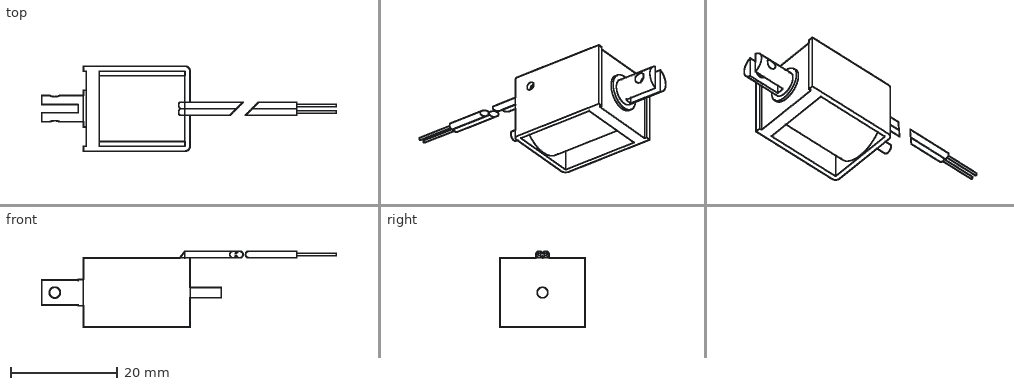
import cadquery as cq

frame_front = 7.85
frame_length = 20.05
wall = 1.0
lip_depth = 0.5
front_plate_thickness = 2.5
rod_end = 33.8
overall_length = 55.45

frame_back = frame_front + frame_length
plate_face = frame_front + lip_depth
cavity_front = plate_face + front_plate_thickness
cavity_back = frame_back - wall

frame_width = 16.0
frame_height = 13.0
back_corner_radius = wall
side_hole_diameter = 1.55
side_hole_x = 23.95
side_hole_z = 9.9
axis_z = frame_height / 2

coil_diameter = 12.4
nose_diameter = 7.0

plunger_diameter = 5.0
rod_diameter = 2.0
slot_width = 1.5
slot_depth = 6.9
cross_hole_diameter = 2.0
cross_hole_x = 2.5

insulation_diameter = 1.3
lead_pitch = 1.2
conductor_diameter = 0.5
near_cut_x = 36.65
far_cut_x = 39.6
insulation_end = 48.0
stub_run = 1.2
stub_drop = 1.65
lead_z = frame_height + insulation_diameter / 2
lead_offsets = (-lead_pitch / 2, lead_pitch / 2)


def rod(diameter, x_start, x_end, y=0.0, z=axis_z):
    """Round bar parallel to X."""
    return (
        cq.Workplane("YZ", origin=(x_start, y, z))
        .circle(diameter / 2)
        .extrude(x_end - x_start)
    )


def block(x_start, x_end, width):
    """Rectangular block standing on Z = 0 and centred on Y = 0."""
    return (
        cq.Workplane("XY", origin=((x_start + x_end) / 2, 0, 0))
        .rect(x_end - x_start, width)
        .extrude(frame_height)
    )


def make_frame():
    inner_width = frame_width - 2 * wall
    body = block(frame_front, frame_back, frame_width)
    body = body.edges("|Z and >X").fillet(back_corner_radius)
    body = body.cut(block(cavity_front, cavity_back, inner_width))
    body = body.cut(block(frame_front, plate_face, inner_width))
    body = body.cut(rod(nose_diameter, plate_face, cavity_front))
    body = body.cut(rod(rod_diameter, cavity_back, frame_back))
    side_hole = (
        cq.Workplane("XZ", origin=(side_hole_x, frame_width / 2, side_hole_z))
        .circle(side_hole_diameter / 2)
        .extrude(wall)
    )
    return body.cut(side_hole)


def make_plunger():
    body = rod(plunger_diameter, 0, cavity_back)
    body = body.union(rod(rod_diameter, cavity_back, rod_end))
    body = body.cut(block(0, slot_depth, slot_width))
    cross_hole = (
        cq.Workplane("XZ", origin=(cross_hole_x, 0, axis_z))
        .circle(cross_hole_diameter / 2)
        .extrude(plunger_diameter, both=True)
    )
    return body.cut(cross_hole)


def slanted_sheath(x_square, x_cut):
    """Twin insulation, square at one end and cut at 45 degrees in plan at the other."""
    half_width = (lead_pitch + insulation_diameter) / 2
    outline = (
        cq.Workplane("XY", origin=(0, 0, frame_height))
        .moveTo(x_square, -half_width)
        .lineTo(x_cut - half_width, -half_width)
        .lineTo(x_cut + half_width, half_width)
        .lineTo(x_square, half_width)
        .close()
        .extrude(insulation_diameter)
    )
    x_min = min(x_square, x_cut - half_width)
    x_max = max(x_square, x_cut + half_width)
    left, right = (rod(insulation_diameter, x_min, x_max, y, lead_z) for y in lead_offsets)
    return left.union(right).intersect(outline)


def lead_stub(y):
    """Sloping piece of one lead that drops from the bend into the coil."""
    section = cq.Wire.makeCircle(
        insulation_diameter / 2, cq.Vector(cavity_back, y, lead_z), cq.Vector(1, 0, 0)
    )
    drop = cq.Vector(-stub_run, 0, -stub_drop)
    return cq.Workplane(cq.Solid.extrudeLinear(section, [], drop))


def make_coil():
    body = rod(coil_diameter, cavity_front, cavity_back)
    body = body.union(rod(nose_diameter, frame_front, cavity_front))
    body = body.cut(rod(plunger_diameter, frame_front, cavity_back))
    for y in lead_offsets:
        body = body.union(lead_stub(y))
    return body.union(slanted_sheath(cavity_back, near_cut_x))


def make_lead_end():
    body = slanted_sheath(insulation_end, far_cut_x)
    for y in lead_offsets:
        body = body.union(rod(conductor_diameter, insulation_end, overall_length, y, lead_z))
    return body


frame = make_frame().solids()
coil = make_coil().solids()
plunger = make_plunger().solids()
lead_end = make_lead_end().solids()

result = cq.Compound.makeCompound([frame.val(), coil.val(), plunger.val(), lead_end.val()])